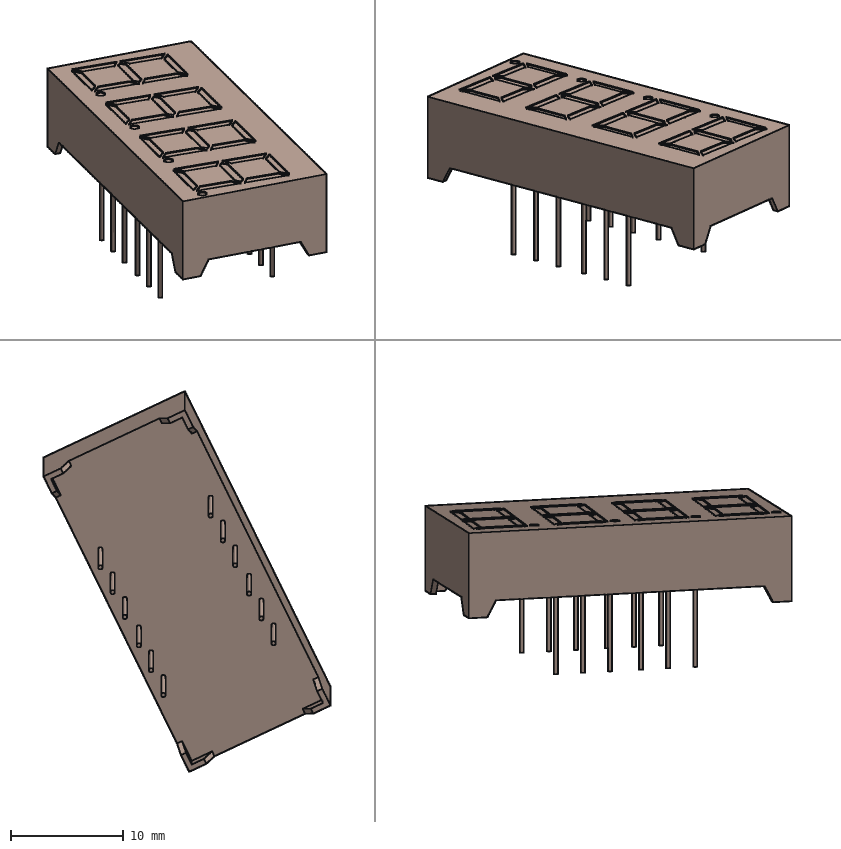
import cadquery as cq
import math

length = 30.0
width = 14.0
underside_z = -6.25
foot_z = -7.75
foot_tip = 1.7
foot_root = 2.52
wall = 0.5

pin_tip_z = -13.5
pin_diameter = 0.4
pin_row_y = 5.45
pin_pitch = 2.52
inner_pin_x = 1.45
pins_per_group = 3

recess_depth = 0.1
digit_count = 4
digit_pitch = length / digit_count
digit_offset_x = -0.05
digit_center_y = -0.6
slant = math.tan(math.radians(2.5))

bar_outer_y = 4.6
bar_inner_y = 3.93
bar_outer_x = 2.22
bar_inner_x = 1.5
side_outer_x = 2.5
side_inner_x = 1.68
side_outer_y = (0.18, 4.4)
side_inner_y = (0.75, 3.75)
middle_half_height = 0.4
middle_flat_x = 1.7
middle_tip_x = 2.1

dot_diameter = 0.8
dot_x = 3.03
dot_y = -4.17


def channel(plane, span, through):
    """Flared channel under the housing, leaving a foot at each end of the span."""
    tip_x = span / 2 - foot_tip
    root_x = span / 2 - foot_root
    outline = [(-tip_x, foot_z), (-root_x, underside_z), (root_x, underside_z), (tip_x, foot_z)]
    return cq.Workplane(plane).polyline(outline).close().extrude(through / 2, both=True)


def housing():
    """Solid block with a rim below it, which two crossing channels cut into four L-shaped feet."""
    block = cq.Workplane("XY").rect(length, width).extrude(foot_z)
    hollow = (
        cq.Workplane("XY")
        .workplane(offset=underside_z)
        .rect(length - 2 * wall, width - 2 * wall)
        .extrude(foot_z - underside_z)
    )
    return block.cut(hollow).cut(channel("XZ", length, width)).cut(channel("YZ", width, length))


def pins():
    """Both rows of round pins below the housing."""
    distances = [inner_pin_x + i * pin_pitch for i in range(pins_per_group)]
    places = [(side * x, row * pin_row_y) for side in (-1, 1) for x in distances for row in (-1, 1)]
    underside = cq.Workplane("XY").workplane(offset=underside_z)
    return underside.pushPoints(places).circle(pin_diameter / 2).extrude(pin_tip_z - underside_z)


def segment_outlines():
    """Outlines of the seven segments of an upright digit centred on the origin."""
    bar = [
        (-bar_outer_x, bar_outer_y),
        (bar_outer_x, bar_outer_y),
        (bar_inner_x, bar_inner_y),
        (-bar_inner_x, bar_inner_y),
    ]
    side = [
        (side_outer_x, side_outer_y[0]),
        (side_outer_x, side_outer_y[1]),
        (side_inner_x, side_inner_y[1]),
        (side_inner_x, side_inner_y[0]),
    ]
    middle = [
        (-middle_tip_x, 0),
        (-middle_flat_x, middle_half_height),
        (middle_flat_x, middle_half_height),
        (middle_tip_x, 0),
        (middle_flat_x, -middle_half_height),
        (-middle_flat_x, -middle_half_height),
    ]
    bars = [[(x, flip * y) for x, y in bar] for flip in (-1, 1)]
    sides = [[(mirror * x, flip * y) for x, y in side] for mirror in (-1, 1) for flip in (-1, 1)]
    return bars + sides + [middle]


def digit_recess(center_x):
    """Cutter for one slanted digit and its decimal point."""
    face = cq.Workplane("XY", origin=(center_x, digit_center_y, 0))
    cutter = face.center(dot_x, dot_y).circle(dot_diameter / 2).extrude(-recess_depth)
    for outline in segment_outlines():
        slanted = [(x + slant * y, y) for x, y in outline]
        cutter.add(face.polyline(slanted).close().extrude(-recess_depth))
    return cutter.combine()


result = housing().union(pins())
for i in range(digit_count):
    digit_center_x = (i - (digit_count - 1) / 2) * digit_pitch + digit_offset_x
    result = result.cut(digit_recess(digit_center_x))